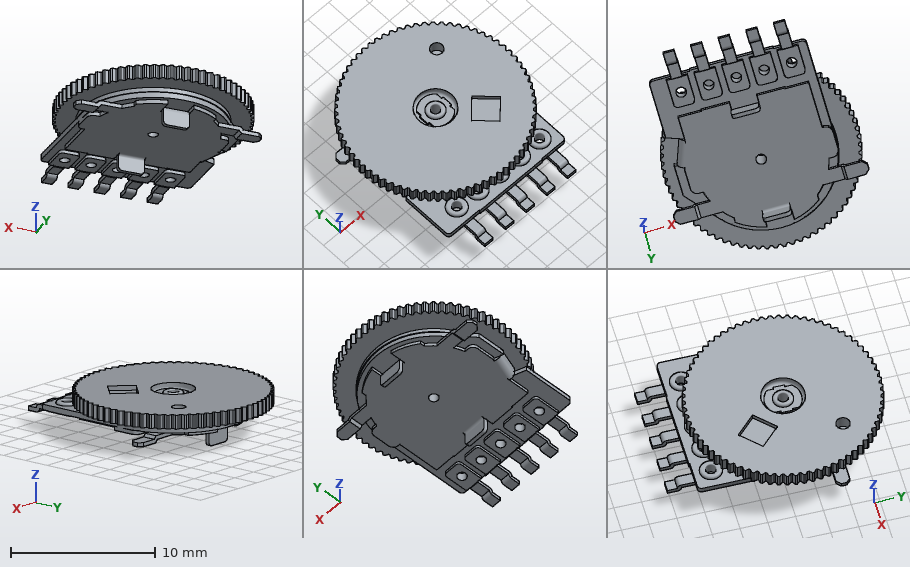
import cadquery as cq
import math


overall_width = 14.0
overall_length = 16.49
half_width = overall_width / 2

board_thickness = 0.41
hub_height = 0.33
wheel_thickness = 1.0
sheet = 0.3
board_top = board_thickness
wheel_bottom = board_top + hub_height
wheel_top = wheel_bottom + wheel_thickness

tooth_count = 72
tooth_pitch = 2 * math.pi / tooth_count
tip_width = 0.15
half_tip = tip_width / overall_width
tip_radius = half_width / math.cos(tooth_pitch / 2 - half_tip)
root_radius = 6.8
root_width = 0.12
hub_radius = 5.41
bore_radius = 1.55
bore_depth = 0.51
bore_fillet = 0.21
bore_floor = wheel_top - bore_depth
shaft_radius = bore_radius - bore_fillet
shaft_height = 0.16
shaft_top = bore_floor + shaft_height
shaft_flat = 0.99
shaft_tab_reach = 1.14
shaft_tab_width = 0.82
spot_radius = 0.5
spot_offset = 3.4
window_side = 2.0
window_offset = 2.47
window_depth = 0.35

eyelet_hole_radius = 0.36
eyelet_height = 0.18
eyelet_inner_round = 0.08
terminal_eyelet_radius = 0.8
shaft_eyelet_radius = 0.75

board_radius = 5.35
board_left = -5.99
board_front = -7.52
board_corner = 0.3
ear_back = 1.19
front_lip_width = 6.04
front_lip_depth = 0.07

lug_angle = 20.0
lug_width = 2.01
lug_reach = 5.79
lug_bend = 0.46
lug_foot_start = 4.12

plate_back_radius = 5.0
plate_side_radius = 4.72
plate_tongue_width = front_lip_width
plate_front = -4.62
plate_side_front = -4.55
plate_ear_reach = 5.35
plate_ear_center = 0.07
plate_ear_length = 2.31
plate_ear_corner = 0.5

leg_width = 1.98
leg_reach = 4.12
leg_bottom = -1.5
leg_bend = 0.5
leg_corner = 0.3
tab_width = 0.99
tab_center = 2.5
tab_reach = half_width
tab_drop = 0.21
tab_bend_start = 5.35
tab_slope = 0.2
tab_bend_shift = 0.15
tab_chamfer = 0.3
tab_root = 3.3

terminal_count = 5
terminal_pitch = 2.0
terminal_y = -6.27
pad_width = 1.52
pad_thickness = 0.25
pad_back = -5.25
pad_front = -7.39
pad_corner = 0.3
pin_width = 0.79
pin_end = half_width - overall_length
pin_step = 0.3
pin_thickness = 0.31
pin_bend_start = -8.48
terminal_xs = [terminal_pitch * (i - (terminal_count - 1) / 2) for i in range(terminal_count)]

diagonal = math.sqrt(0.5)


def polar(radius, angle):
    return (radius * math.cos(angle), radius * math.sin(angle))


def block(x0, x1, y0, y1, z0, z1):
    return cq.Workplane("XY").box(x1 - x0, y1 - y0, z1 - z0, centered=False).translate((x0, y0, z0))


def disc(radius, z0, z1):
    return cq.Workplane("XY").workplane(offset=z0).circle(radius).extrude(z1 - z0)


def make_toothed_disc():
    """Toothed disc with a valley on each main axis."""
    half_root = root_width / 2 / root_radius
    points = []
    for i in range(tooth_count):
        valley = i * tooth_pitch
        tip = valley + tooth_pitch / 2
        points.append(polar(root_radius, valley - half_root))
        points.append(polar(root_radius, valley + half_root))
        points.append(polar(tip_radius, tip - half_tip))
        points.append(polar(tip_radius, tip + half_tip))
    base = cq.Workplane("XY").workplane(offset=wheel_bottom)
    return base.polyline(points).close().extrude(wheel_thickness)


def make_shaft_end():
    """Round shaft end with two flats and a small tab on each flat."""
    half_tab = shaft_tab_width / 2
    between_flats = block(-shaft_flat, shaft_flat, -shaft_radius, shaft_radius, bore_floor, shaft_top)
    tabs = block(-shaft_tab_reach, shaft_tab_reach, -half_tab, half_tab, bore_floor, shaft_top)
    return disc(shaft_radius, bore_floor, shaft_top).intersect(between_flats.union(tabs))


def make_wheel():
    bore = disc(bore_radius, bore_floor, wheel_top).faces("<Z").edges().fillet(bore_fillet)
    spot = disc(spot_radius, wheel_bottom, wheel_top).translate((spot_offset, spot_offset, 0))
    window = (
        cq.Workplane("XY").rect(window_side, window_side).extrude(window_depth)
        .rotate((0, 0, 0), (0, 0, 1), 45)
        .translate((window_offset, -window_offset, wheel_top - window_depth))
    )
    wheel = make_toothed_disc().cut(bore).cut(spot).cut(window).union(make_shaft_end())
    return wheel.union(disc(hub_radius, board_top, wheel_bottom))


def make_eyelet(radius, x, y, z):
    """Raised ring, rounded outside and at the mouth of its hole."""
    top_radius = radius - eyelet_height
    mouth_x = eyelet_hole_radius + eyelet_inner_round
    mouth_z = eyelet_height - eyelet_inner_round
    ring = (
        cq.Workplane("XZ")
        .moveTo(eyelet_hole_radius, 0)
        .lineTo(radius, 0)
        .threePointArc(
            (top_radius + eyelet_height * diagonal, eyelet_height * diagonal),
            (top_radius, eyelet_height),
        )
        .lineTo(mouth_x, eyelet_height)
        .threePointArc(
            (mouth_x - eyelet_inner_round * diagonal, mouth_z + eyelet_inner_round * diagonal),
            (eyelet_hole_radius, mouth_z),
        )
        .close()
        .revolve(360, (0, 0, 0), (0, 1, 0))
    )
    return ring.translate((x, y, z))


def turn_to_lug(body):
    """Turn a body built along +X to the direction of the lug."""
    return body.rotate((0, 0, 0), (0, 0, 1), 180 + lug_angle)


def make_board():
    ear_distance = math.hypot(board_left, ear_back)
    tangent_angle = math.atan2(ear_back, board_left) - math.acos(board_radius / ear_distance)
    board = (
        cq.Workplane("XY")
        .moveTo(board_radius, board_front)
        .lineTo(board_radius, 0)
        .threePointArc(polar(board_radius, tangent_angle / 2), polar(board_radius, tangent_angle))
        .lineTo(board_left, ear_back)
        .lineTo(board_left, board_front)
        .close()
        .extrude(board_thickness)
        .edges("|Z and <Y").fillet(board_corner)
    )
    half_lip = front_lip_width / 2
    lip = block(-half_lip, half_lip, board_front - front_lip_depth, terminal_y, 0, board_thickness)
    notch = block(lug_reach - sheet, 2 * lug_reach, -lug_width / 2, lug_width / 2, 0, board_thickness)
    return board.union(lip).cut(turn_to_lug(notch))


def make_bent_strip(start, reach, end_z, bend, width):
    """Strip lying along +X below Z = 0, then bent square up or down to end_z."""
    side = 1 if end_z > 0 else -1
    outer = -sheet if side > 0 else 0
    inner = outer + side * sheet
    inner_bend = bend - sheet
    center_x = reach - bend
    center_z = outer + side * bend
    profile = (
        cq.Workplane("XZ")
        .moveTo(start, outer)
        .lineTo(center_x, outer)
        .threePointArc((center_x + bend * diagonal, center_z - side * bend * diagonal), (reach, center_z))
        .lineTo(reach, end_z)
        .lineTo(reach - sheet, end_z)
        .lineTo(reach - sheet, center_z)
        .threePointArc(
            (center_x + inner_bend * diagonal, center_z - side * inner_bend * diagonal),
            (center_x, inner),
        )
        .lineTo(start, inner)
        .close()
    )
    return profile.extrude(width / 2, both=True)


def make_plate():
    half_tongue = plate_tongue_width / 2
    plate = disc(plate_side_radius, -sheet, 0)
    back = disc(plate_back_radius, -sheet, 0)
    plate = plate.union(back.intersect(block(-half_tongue, half_tongue, 0, plate_back_radius, -sheet, 0)))
    plate = plate.union(block(-half_tongue, half_tongue, plate_front, 0, -sheet, 0))
    plate = plate.union(block(-plate_side_radius, plate_side_radius, plate_side_front, 0, -sheet, 0))
    ears = (
        cq.Workplane("XY").rect(2 * plate_ear_reach, plate_ear_length).extrude(-sheet)
        .edges("|Z").fillet(plate_ear_corner)
        .translate((0, plate_ear_center, 0))
    )
    plate = plate.union(ears)

    leg = make_bent_strip(0, leg_reach, leg_bottom, leg_bend, leg_width)
    leg = leg.edges("|X and <Z").fillet(leg_corner)
    slot = block(leg_reach - leg_bend, 2 * leg_reach, -leg_width / 2, leg_width / 2, -sheet, 0)
    for angle in (90, -90):
        plate = plate.cut(slot.rotate((0, 0, 0), (0, 0, 1), angle))
        plate = plate.union(leg.rotate((0, 0, 0), (0, 0, 1), angle))
    return plate


def make_tab():
    """Right-hand mounting tab, stepped down from the plate, with a chamfered end."""
    step_end = tab_bend_start + tab_slope
    tab = (
        cq.Workplane("XZ")
        .moveTo(tab_root, 0)
        .lineTo(tab_bend_start, 0)
        .lineTo(step_end, -tab_drop)
        .lineTo(tab_reach, -tab_drop)
        .lineTo(tab_reach, -tab_drop - sheet)
        .lineTo(step_end - tab_bend_shift, -tab_drop - sheet)
        .lineTo(tab_bend_start - tab_bend_shift, -sheet)
        .lineTo(tab_root, -sheet)
        .close()
        .extrude(tab_width / 2, both=True)
    )
    return tab.edges("|Z and >X").chamfer(tab_chamfer).translate((0, tab_center, 0))


def make_terminal(x):
    pad = block(-pad_width / 2, pad_width / 2, pad_front, pad_back, -pad_thickness, 0)
    pad = pad.edges("|Z and >Y").fillet(pad_corner)

    bend_end = pin_bend_start - pin_step
    pin_bottom = -pin_step - pin_thickness
    pin = (
        cq.Workplane("YZ")
        .moveTo(pad_front, 0)
        .lineTo(pin_bend_start, 0)
        .threePointArc(
            (pin_bend_start - pin_step * diagonal, pin_step * (diagonal - 1)),
            (bend_end, -pin_step),
        )
        .lineTo(pin_end, -pin_step)
        .lineTo(pin_end, pin_bottom)
        .lineTo(bend_end, pin_bottom)
        .threePointArc(
            (bend_end + pin_step * diagonal, pin_bottom + pin_step * (1 - diagonal)),
            (pin_bend_start, -pin_thickness),
        )
        .lineTo(pad_front, -pin_thickness)
        .close()
        .extrude(pin_width / 2, both=True)
    )
    return pad.union(pin).translate((x, 0, 0))


right_tab = make_tab()
lug = turn_to_lug(make_bent_strip(lug_foot_start, lug_reach, wheel_bottom, lug_bend, lug_width))
eyelet_hole = disc(eyelet_hole_radius, leg_bottom, wheel_top)

result = make_board().union(make_wheel()).union(make_plate()).union(lug)
result = result.union(right_tab).union(right_tab.mirror("YZ"))
result = result.cut(eyelet_hole).union(make_eyelet(shaft_eyelet_radius, 0, 0, shaft_top))

for terminal_x in terminal_xs:
    hole = disc(eyelet_hole_radius, -sheet, board_top).translate((terminal_x, terminal_y, 0))
    result = result.union(make_terminal(terminal_x)).cut(hole)
    result = result.union(make_eyelet(terminal_eyelet_radius, terminal_x, terminal_y, board_top))